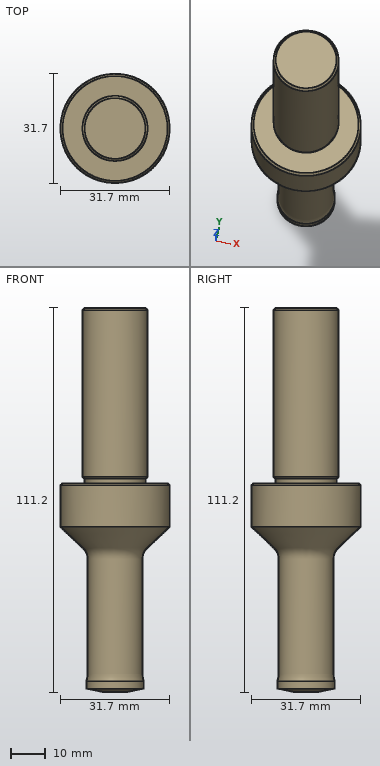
import cadquery as cq
import math

shank_radius = 9.5
neck_radius = 8.9
collar_radius = 15.85
stem_radius = 8.0
tip_radius = 8.3
tip_end_radius = 3.6

total_height = 111.2
shank_bottom = 62.3
collar_top = 60.5
collar_bottom = 47.8
blend_bottom = 38.7
flare_top = 5.2
tip_top = 3.1
tip_bevel_height = 1.0

shank_chamfer = 0.7
shank_lower_chamfer = 0.6
collar_chamfer = 0.7
blend_radius = 4.0
cone_angle = math.radians(49)

blend_center_radius = stem_radius + blend_radius

flare_height = flare_top - tip_top
flare_depth = tip_radius - stem_radius
flare_radius = (flare_height**2 + flare_depth**2) / (2 * flare_depth)
flare_angle = math.asin(flare_height / flare_radius)


def flare_point(angle):
    """Point of the flare arc, at an angle measured down from its stem end."""
    radius = stem_radius + flare_radius * (1 - math.cos(angle))
    return radius, flare_top - flare_radius * math.sin(angle)


def blend_point(angle):
    """Point of the blend arc, at an angle measured up from its stem end."""
    radius = blend_center_radius - blend_radius * math.cos(angle)
    return radius, blend_bottom + blend_radius * math.sin(angle)


def make_holder():
    """Shank, undercut neck, collar, tapered shoulder and flared stem in one piece."""
    return (
        cq.Workplane("XZ")
        .moveTo(0, tip_top)
        .lineTo(tip_radius, tip_top)
        .threePointArc(flare_point(flare_angle / 2), flare_point(0))
        .lineTo(stem_radius, blend_bottom)
        .threePointArc(blend_point(cone_angle / 2), blend_point(cone_angle))
        .lineTo(collar_radius, collar_bottom)
        .lineTo(collar_radius, collar_top - collar_chamfer)
        .lineTo(collar_radius - collar_chamfer, collar_top)
        .lineTo(neck_radius, collar_top)
        .lineTo(neck_radius, shank_bottom - shank_lower_chamfer)
        .lineTo(shank_radius, shank_bottom)
        .lineTo(shank_radius, total_height - shank_chamfer)
        .lineTo(shank_radius - shank_chamfer, total_height)
        .lineTo(0, total_height)
        .close()
        .revolve(360, (0, 0), (0, 1))
    )


def make_tip():
    """Short cylindrical tip with a shallow bevel around its lower end."""
    return (
        cq.Workplane("XZ")
        .lineTo(tip_end_radius, 0)
        .lineTo(tip_radius, tip_bevel_height)
        .lineTo(tip_radius, tip_top)
        .lineTo(0, tip_top)
        .close()
        .revolve(360, (0, 0), (0, 1))
    )


holder = make_holder()
tip = make_tip()
result = cq.Compound.makeCompound([holder.val(), tip.val()])